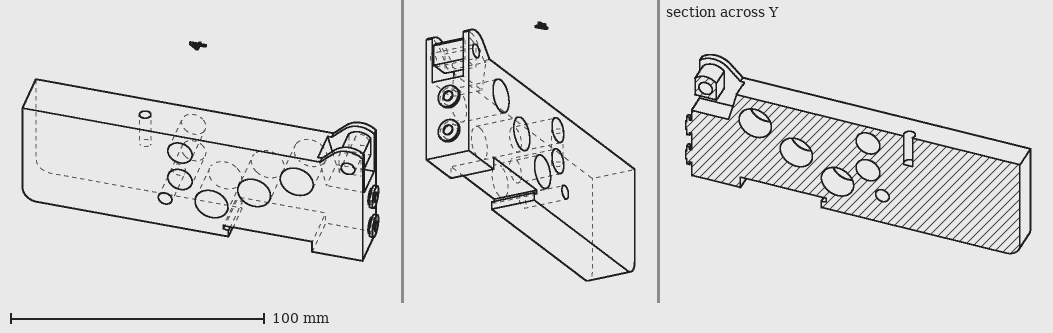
import cadquery as cq
import math


block_length = 139.5
block_width = 19.0
block_height = 46.0
corner_radius = 6.0

pivot_x = 133.5
pivot_z = 45.2
pivot_hole_diameter = 5.5
lug_radius = 8.7

slot_width = 13.8
slot_mouth_x = 120.4
slot_floor_x = 123.8
slot_floor_z = 32.7

bar_width = 9.1
bar_half_width = bar_width / 2
bar_top_radius = 6.0

notch_start_x = 82.4
notch_end_x = 118.7
notch_depth = 5.1
lip_length = 2.1
lip_root_z = 3.5
lip_tip_z = 3.1

large_hole_diameter = 13.5
large_hole_x = 95.0
large_hole_z = 24.4
large_hole_step_x = 17.5
large_hole_step_z = 9.5
medium_hole_diameter = 10.0
medium_hole_x = 64.6
medium_hole_pitch = 13.3
small_hole_diameter = 5.5
small_hole_x = 58.5
small_hole_z = 13.5

top_hole_diameter = 4.5
top_hole_x = 47.5
top_hole_depth = 14.2

stud_y = 1.4
stud_heights = (9.7, 24.3)
stem_diameter = 6.5
stem_length = 0.9
head_diameter = 9.0
head_length = 1.3
nub_diameter = 4.0
nub_length = 0.4

plate_top_z = 82.6
plate_thickness = 0.4
plate_bar_left_x = 64.6
plate_bar_right_x = 71.1
plate_bar_low_y = 4.1
plate_bar_high_y = 5.0
plate_stem_left_x = 68.0
plate_stem_right_x = 68.7
plate_stem_low_y = 1.5
plate_stem_high_y = 5.8
plate_window_left_x = 66.2
plate_window_low_y = 2.7


def cross_hole(diameter, x, z):
    """Cylinder along Y that cuts right through the block."""
    return cq.Workplane("XZ").center(x, z).circle(diameter / 2).extrude(block_width, both=True)


def make_block():
    """Block with its lower near corner rounded and the lug outline at the far top corner."""
    diagonal = math.sqrt(0.5)
    tangent_x = pivot_x - lug_radius * diagonal
    tangent_z = pivot_z + lug_radius * diagonal
    ramp_start_x = tangent_x - (tangent_z - block_height)
    lug_end_z = pivot_z + math.sqrt(lug_radius**2 - (block_length - pivot_x) ** 2)
    outline = (
        cq.Workplane("XZ")
        .moveTo(corner_radius, 0)
        .lineTo(block_length, 0)
        .lineTo(block_length, lug_end_z)
        .threePointArc((pivot_x, pivot_z + lug_radius), (tangent_x, tangent_z))
        .lineTo(ramp_start_x, block_height)
        .lineTo(0, block_height)
        .lineTo(0, corner_radius)
        .radiusArc((corner_radius, 0), -corner_radius)
        .close()
    )
    return outline.extrude(block_width / 2, both=True)


def make_slot():
    """Slot between the lugs, open at the top and at the far end face."""
    slot_top_z = pivot_z + 2 * lug_radius
    outline = (
        cq.Workplane("XZ")
        .moveTo(slot_floor_x, slot_floor_z)
        .lineTo(block_length, slot_floor_z)
        .lineTo(block_length, slot_top_z)
        .lineTo(slot_mouth_x, slot_top_z)
        .lineTo(slot_mouth_x, block_height)
        .close()
    )
    return outline.extrude(slot_width / 2, both=True)


def make_bar():
    """Bar across the slot: flat sides and bottom, top rounded about the pivot axis."""
    shoulder_z = pivot_z + math.sqrt(bar_top_radius**2 - bar_half_width**2)
    outline = (
        cq.Workplane("XZ")
        .moveTo(pivot_x - bar_half_width, pivot_z - bar_half_width)
        .lineTo(pivot_x + bar_half_width, pivot_z - bar_half_width)
        .lineTo(pivot_x + bar_half_width, shoulder_z)
        .threePointArc((pivot_x, pivot_z + bar_top_radius), (pivot_x - bar_half_width, shoulder_z))
        .close()
    )
    return outline.extrude(slot_width / 2, both=True)


def make_notch():
    """Underside notch across the full width, undercutting a lip at its near end."""
    lip_tip_x = notch_start_x + lip_length
    outline = (
        cq.Workplane("XZ")
        .moveTo(lip_tip_x, 0)
        .lineTo(lip_tip_x, lip_tip_z)
        .lineTo(notch_start_x, lip_root_z)
        .lineTo(notch_start_x, notch_depth)
        .lineTo(notch_end_x, notch_depth)
        .lineTo(notch_end_x, 0)
        .close()
    )
    return outline.extrude(block_width, both=True)


def make_stud(z):
    """Stud on the far end face: stem, wide head and a small end nub."""
    return (
        cq.Workplane("YZ", origin=(block_length, stud_y, z))
        .circle(stem_diameter / 2)
        .extrude(stem_length)
        .faces(">X")
        .workplane()
        .circle(head_diameter / 2)
        .extrude(head_length)
        .faces(">X")
        .workplane()
        .circle(nub_diameter / 2)
        .extrude(nub_length)
    )


def make_top_hole():
    """Blind hole bored straight down from the top face."""
    plane = cq.Workplane("XY", origin=(top_hole_x, 0, block_height))
    return plane.circle(top_hole_diameter / 2).extrude(-top_hole_depth)


def make_housing():
    """Block with its slot, bar, notch, holes and studs as one solid."""
    body = make_block().cut(make_slot()).union(make_bar()).cut(make_notch())
    for step in (-1, 0, 1):
        x = large_hole_x + step * large_hole_step_x
        z = large_hole_z + step * large_hole_step_z
        body = body.cut(cross_hole(large_hole_diameter, x, z))
    for row in range(2):
        z = large_hole_z + row * medium_hole_pitch
        body = body.cut(cross_hole(medium_hole_diameter, medium_hole_x, z))
    body = body.cut(cross_hole(small_hole_diameter, small_hole_x, small_hole_z))
    body = body.cut(cross_hole(pivot_hole_diameter, pivot_x, pivot_z))
    body = body.cut(make_top_hole())
    for z in stud_heights:
        body = body.union(make_stud(z))
    return body


def plate_stroke(corners):
    """Flat prism of the plate thickness on the given corner points, flush with the plate top."""
    plane = cq.Workplane("XY", origin=(0, 0, plate_top_z - plate_thickness))
    return plane.polyline(corners).close().extrude(plate_thickness)


def make_plate():
    """Thin plate shaped like a 4: a bar, a crossing stem and a diagonal closing one side."""
    bar = plate_stroke([
        (plate_bar_left_x, plate_bar_low_y),
        (plate_bar_right_x, plate_bar_low_y),
        (plate_bar_right_x, plate_bar_high_y),
        (plate_bar_left_x, plate_bar_high_y),
    ])
    stem = plate_stroke([
        (plate_stem_left_x, plate_stem_low_y),
        (plate_stem_right_x, plate_stem_low_y),
        (plate_stem_right_x, plate_stem_high_y),
        (plate_stem_left_x, plate_stem_high_y),
    ])
    diagonal = plate_stroke([
        (plate_bar_left_x, plate_bar_low_y),
        (plate_stem_left_x, plate_stem_low_y),
        (plate_stem_left_x, plate_window_low_y),
        (plate_window_left_x, plate_bar_low_y),
    ])
    return bar.union(stem).union(diagonal)


housing = make_housing()
plate = make_plate()

result = cq.Compound.makeCompound([housing.val(), plate.val()])